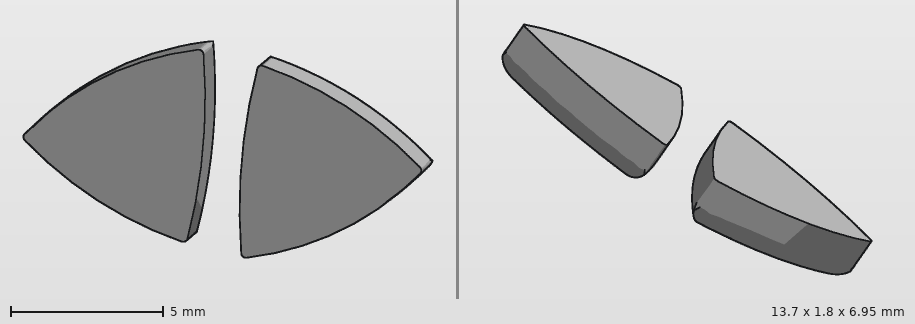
import cadquery as cq
import math


thickness = 1.8
rim_radius = 0.8
corner_radius = 0.16

outer_tip = (-6.898, 0.025)
upper_corner = (-0.66, 3.505)
lower_corner = (-1.24, -3.14)

upper_bow = 0.60
inner_bow = 0.29
lower_bow = 0.43

pad_count = 2


def bow_point(start, end, bow):
    """Midpoint of a side running clockwise, pushed outward from its chord."""
    run = end[0] - start[0]
    rise = end[1] - start[1]
    chord = math.hypot(run, rise)
    mid_x = (start[0] + end[0]) / 2
    mid_z = (start[1] + end[1]) / 2
    return (mid_x - bow * rise / chord, mid_z + bow * run / chord)


def make_blank():
    """Flat pad with sharp corners, from Y = 0 to Y = thickness."""
    return (
        cq.Workplane("XZ")
        .moveTo(*outer_tip)
        .threePointArc(bow_point(outer_tip, upper_corner, upper_bow), upper_corner)
        .threePointArc(bow_point(upper_corner, lower_corner, inner_bow), lower_corner)
        .threePointArc(bow_point(lower_corner, outer_tip, lower_bow), outer_tip)
        .close()
        .extrude(-thickness)
    )


def make_pad():
    """Pad whose rounded-over sides meet in mitres, trimmed to the rounded corners."""
    mitred_pad = make_blank().faces(">Y").edges().fillet(rim_radius)
    rounded_outline = make_blank().edges("|Y").fillet(corner_radius)
    return mitred_pad.intersect(rounded_outline).solids()


pad = make_pad()
pads = []
for index in range(pad_count):
    turn = index * 360 / pad_count
    pads.append(pad.rotate((0, 0, 0), (0, 1, 0), turn).val())

result = cq.Compound.makeCompound(pads)